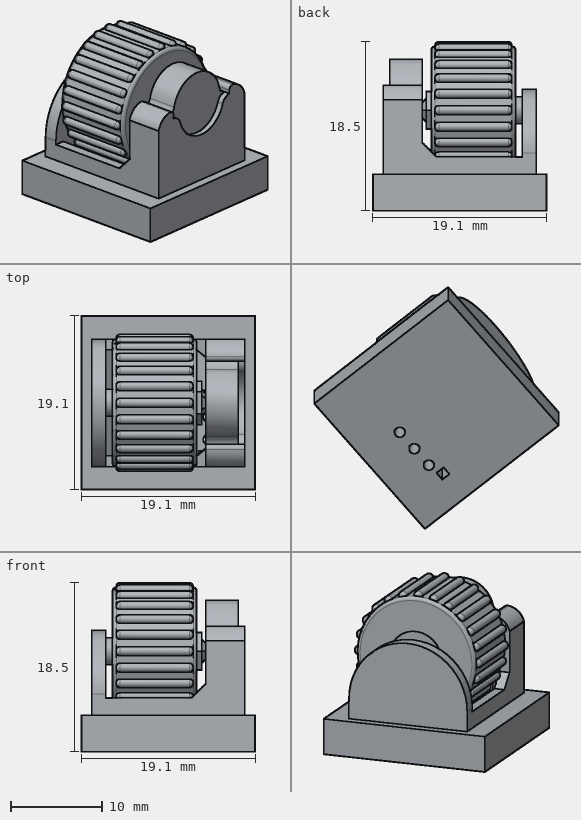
import cadquery as cq
import math

base_side = 19.05
base_top_z = 4.04

axis_height_above_base = 7.0
axis_z = base_top_z + axis_height_above_base
wheel_radius = 7.0
wheel_left_x = -6.12
wheel_right_x = 3.12
wheel_edge_round = 0.4

rib_count = 24
rib_radius = 0.5
rib_end_round = 0.4
rib_left_x = wheel_left_x + wheel_edge_round
rib_right_x = wheel_right_x - wheel_edge_round
rib_tip_radius = wheel_radius + rib_radius

frame_length = 16.8
frame_width = 13.96
frame_left_x = -frame_length / 2
frame_right_x = frame_length / 2
half_width = frame_width / 2
floor_z = 5.92

end_plate_thickness = 1.55
end_plate_inner_x = frame_left_x + end_plate_thickness
end_plate_top_z = 13.35

pillar_face_x = 4.1
pillar_foot_chamfer = 1.55
saddle_radius = 3.75
saddle_axis_z = 12.89
saddle_end_x = 7.68
saddle_side_angle = 77.0
cheek_shoulder_z = 12.16
cheek_radius = 2.2
cheek_start_angle = 75.0
cheek_end_angle = 6.0
cheek_corner_radius = 0.5
cheek_corner_end_angle = -90.0
valley_z = 12.85
bowl_radius = 3.6
bowl_axis_z = 13.05
bowl_side_angle = 73.0

pocket_half_width = 5.8
pocket_corner_start_x = 3.13
pocket_corner_half_width = 5.0
ramp_size = wheel_left_x - end_plate_inner_x

recess_clearance = 0.2

pin_hole_diameter = 1.16
pin_hole_x = 4.43
pin_hole_ys = (0.96, -1.54, -4.04)
tab_slot_x = 3.36
tab_slot_y = -5.28
tab_slot_side = 1.0

hub_diameter = 6.15
hub_depth = 3.0
axle_diameter = 3.0
hex_sides = 6
hex_across_flats = 4.13
hex_length = 0.56
hex_tip_across_flats = 2.6
hex_tip_taper = 45.0


def on_circle(center_y, center_z, radius, angle):
    """Point on a circle in the YZ plane; the angle is in degrees from +Z toward +Y."""
    turn = math.radians(angle)
    return (center_y + radius * math.sin(turn), center_z + radius * math.cos(turn))


def cylinder_along_x(x_start, x_end, radius, center_z=axis_z):
    plane = cq.Workplane("YZ", origin=(x_start, 0, center_z))
    return plane.circle(radius).extrude(x_end - x_start)


def mirrored_in_y(half):
    return half.union(half.mirror("XZ"))


def make_base():
    plate = cq.Workplane("XY").box(base_side, base_side, base_top_z, centered=(True, True, False))
    rib_recess = cylinder_along_x(
        rib_left_x - recess_clearance, rib_right_x + recess_clearance, rib_tip_radius + recess_clearance
    )
    pin_holes = (
        cq.Workplane("XY")
        .pushPoints([(pin_hole_x, y) for y in pin_hole_ys])
        .circle(pin_hole_diameter / 2)
        .extrude(base_top_z)
    )
    tab_slot = (
        cq.Workplane("XY", origin=(tab_slot_x, tab_slot_y - tab_slot_side, 0))
        .rect(tab_slot_side, tab_slot_side, centered=False)
        .extrude(base_top_z)
    )
    return plate.cut(rib_recess).cut(pin_holes).cut(tab_slot)


def make_floor():
    foot_start = (pillar_face_x - pillar_foot_chamfer, floor_z)
    foot_end = (pillar_face_x, floor_z + pillar_foot_chamfer)
    return (
        cq.Workplane("XZ", origin=(0, half_width, 0))
        .moveTo(frame_left_x, base_top_z)
        .lineTo(frame_left_x, floor_z)
        .lineTo(*foot_start)
        .lineTo(*foot_end)
        .lineTo(pillar_face_x, base_top_z)
        .close()
        .extrude(frame_width)
    )


def make_end_plate():
    spring_z = end_plate_top_z - half_width
    return (
        cq.Workplane("YZ", origin=(frame_left_x, 0, 0))
        .moveTo(-half_width, base_top_z)
        .lineTo(-half_width, spring_z)
        .threePointArc((0, end_plate_top_z), (half_width, spring_z))
        .lineTo(half_width, base_top_z)
        .close()
        .extrude(end_plate_thickness)
    )


cheek_center_y = half_width - cheek_radius * math.sin(math.radians(cheek_start_angle))
cheek_center_z = cheek_shoulder_z - cheek_radius * math.cos(math.radians(cheek_start_angle))
corner_center = on_circle(cheek_center_y, cheek_center_z, cheek_radius - cheek_corner_radius, cheek_end_angle)
inner_wall_top = on_circle(*corner_center, cheek_corner_radius, cheek_corner_end_angle)
valley = (inner_wall_top[0], valley_z)


def make_pillar():
    """Round saddle between two crowned cheeks, with a valley on each side of the saddle."""
    corner_mid_angle = (cheek_end_angle + cheek_corner_end_angle) / 2
    crown_mid_angle = (cheek_start_angle + cheek_end_angle) / 2
    crown_end = on_circle(cheek_center_y, cheek_center_z, cheek_radius, cheek_end_angle)
    half = (
        cq.Workplane("YZ", origin=(pillar_face_x, 0, 0))
        .moveTo(0, base_top_z)
        .lineTo(0, saddle_axis_z + saddle_radius)
        .threePointArc(
            on_circle(0, saddle_axis_z, saddle_radius, saddle_side_angle / 2),
            on_circle(0, saddle_axis_z, saddle_radius, saddle_side_angle),
        )
        .tangentArcPoint(valley, relative=False)
        .lineTo(*inner_wall_top)
        .threePointArc(on_circle(*corner_center, cheek_corner_radius, corner_mid_angle), crown_end)
        .threePointArc(
            on_circle(cheek_center_y, cheek_center_z, cheek_radius, crown_mid_angle),
            (half_width, cheek_shoulder_z),
        )
        .lineTo(half_width, base_top_z)
        .close()
        .extrude(frame_right_x - pillar_face_x)
    )
    return mirrored_in_y(half)


def make_bowl_cutter():
    """Open-topped bowl behind the saddle, flaring out to the two valleys."""
    cutter_top_z = saddle_axis_z + saddle_radius
    half = (
        cq.Workplane("YZ", origin=(saddle_end_x, 0, 0))
        .moveTo(0, bowl_axis_z - bowl_radius)
        .threePointArc(
            on_circle(0, bowl_axis_z, bowl_radius, 180 - bowl_side_angle / 2),
            on_circle(0, bowl_axis_z, bowl_radius, 180 - bowl_side_angle),
        )
        .tangentArcPoint(valley, relative=False)
        .lineTo(valley[0], cutter_top_z)
        .lineTo(0, cutter_top_z)
        .close()
        .extrude(frame_right_x - saddle_end_x)
    )
    return mirrored_in_y(half)


def make_wheel_pocket():
    """Opening through the floor, with its two corners at the pillar cut off."""
    outline = [
        (end_plate_inner_x, -pocket_half_width),
        (pocket_corner_start_x, -pocket_half_width),
        (pillar_face_x, -pocket_corner_half_width),
        (pillar_face_x, pocket_corner_half_width),
        (pocket_corner_start_x, pocket_half_width),
        (end_plate_inner_x, pocket_half_width),
    ]
    opening = (
        cq.Workplane("XY", origin=(0, 0, base_top_z))
        .polyline(outline)
        .close()
        .extrude(axis_height_above_base)
    )
    return opening.cut(make_ramp())


def make_ramp():
    """45 degree ramp left at the foot of the end plate, inside the pocket."""
    return (
        cq.Workplane("XZ", origin=(0, pocket_half_width, 0))
        .moveTo(end_plate_inner_x, base_top_z)
        .lineTo(end_plate_inner_x, base_top_z + ramp_size)
        .lineTo(end_plate_inner_x + ramp_size, base_top_z)
        .close()
        .extrude(2 * pocket_half_width)
    )


def make_frame():
    floor = make_floor().cut(make_wheel_pocket())
    pillar = make_pillar().cut(make_bowl_cutter())
    return floor.union(make_end_plate()).union(pillar)


def make_rib():
    rib = cylinder_along_x(rib_left_x, rib_right_x, rib_radius, axis_z + wheel_radius)
    return rib.faces("<X or >X").edges().fillet(rib_end_round)


def make_wheel():
    wheel = cylinder_along_x(wheel_left_x, wheel_right_x, wheel_radius)
    wheel = wheel.faces("<X or >X").edges().fillet(wheel_edge_round)
    rib = make_rib()
    for index in range(rib_count):
        angle = index * 360 / rib_count
        wheel = wheel.union(rib.rotate((0, 0, axis_z), (1, 0, axis_z), angle))
    return wheel.cut(cylinder_along_x(wheel_left_x, wheel_left_x + hub_depth, hub_diameter / 2))


def make_hub():
    hub = cylinder_along_x(wheel_left_x, wheel_left_x + hub_depth, hub_diameter / 2)
    return hub.cut(make_axle())


def make_axle():
    return cylinder_along_x(end_plate_inner_x, wheel_left_x + hub_depth, axle_diameter / 2)


def make_spindle():
    corners_per_flats = 1 / math.cos(math.pi / hex_sides)
    hex_end_x = wheel_right_x + hex_length
    body = (
        cq.Workplane("YZ", origin=(wheel_right_x, 0, axis_z))
        .polygon(hex_sides, hex_across_flats * corners_per_flats)
        .extrude(hex_length)
    )
    tip = (
        cq.Workplane("YZ", origin=(hex_end_x, 0, axis_z))
        .polygon(hex_sides, hex_tip_across_flats * corners_per_flats)
        .extrude(pillar_face_x - hex_end_x, taper=hex_tip_taper)
    )
    return body.union(tip)


base = make_base()
frame = make_frame()
wheel = make_wheel()
hub = make_hub()
axle = make_axle()
spindle = make_spindle()

result = cq.Compound.makeCompound(
    [body.solids().val() for body in (base, frame, wheel, hub, axle, spindle)]
)